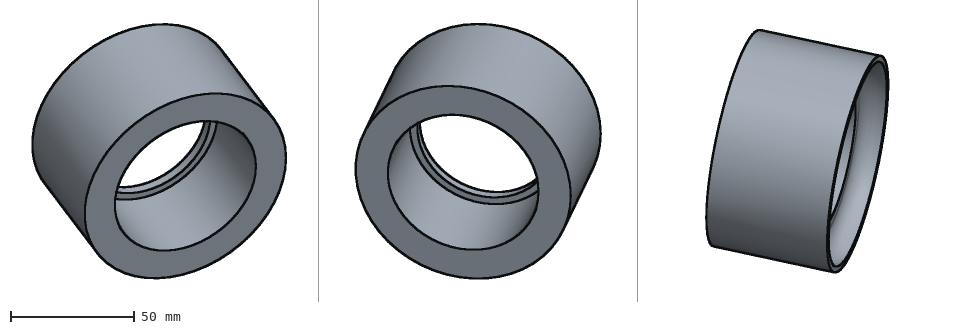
import cadquery as cq

length = 51.0
outer_diameter = 90.0
lip_diameter = 56.7
rear_bore_diameter = 63.0
mouth_diameter = 85.05
floor_diameter = 67.0
recess_depth = 9.0
recess_arc_radius = 9.1
lip_thickness = 4.5

outer_radius = outer_diameter / 2
lip_radius = lip_diameter / 2
rear_bore_radius = rear_bore_diameter / 2
mouth_radius = mouth_diameter / 2
floor_radius = floor_diameter / 2
lip_back = recess_depth + lip_thickness

section = (
    cq.Workplane("XY")
    .moveTo(0, mouth_radius)
    .lineTo(0, outer_radius)
    .lineTo(length, outer_radius)
    .lineTo(length, rear_bore_radius)
    .lineTo(lip_back, rear_bore_radius)
    .lineTo(lip_back, lip_radius)
    .lineTo(recess_depth, lip_radius)
    .lineTo(recess_depth, floor_radius)
    .radiusArc((0, mouth_radius), -recess_arc_radius)
    .close()
)

result = section.revolve(360, (0, 0, 0), (1, 0, 0))